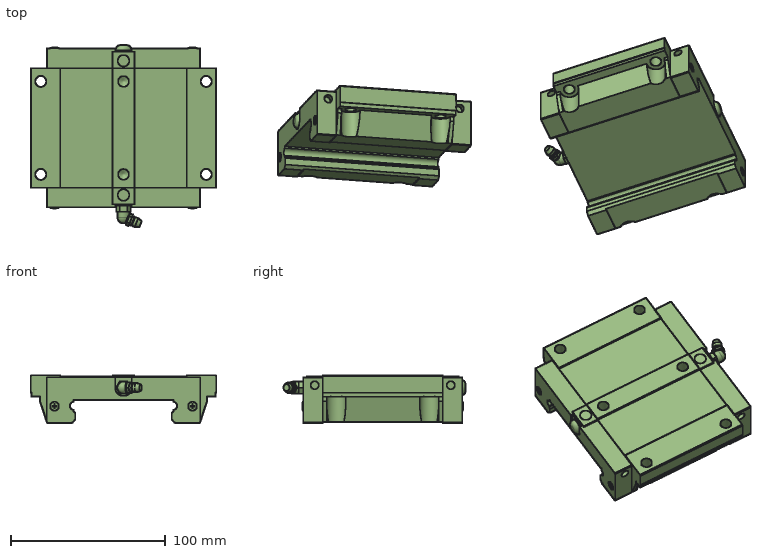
import cadquery as cq
import math

block_width = 120.0
block_length = 77.3
block_top = 31.0
block_bottom = 0.6
flange_bottom = 17.0
flange_step_z = 19.7
flange_step = 0.5
flange_top_chamfer = 0.6
leg_top_x = 54.0
leg_bottom_x = 49.5
recess_depth = 0.8
recess_half_width = 40.9
recess_draft = 0.2
strip_half_width = 6.8
strip_draft = 0.4
strip_root = 6.0

rib_inner_y = 36.0
rib_knee_z = 14.2

bolt_x = 53.4
bolt_y = 30.0
bolt_diameter = 7.0
bolt_relief_radius = 6.2
blind_hole_depth = 10.8
drill_point_angle = 118.0

cap_half_width = 49.5
cap_outer_y = 49.2
cap_top = 29.8
cap_chamfer = 0.5
cap_strip_rise = 0.5
cap_mark_y = 43.3
cap_mark_diameter = 7.5
cap_mark_depth = 0.1
side_port_y = 43.9
side_port_z = 24.5
side_port_diameter = 5.2
side_port_depth = 4.8
plate_outer_y = 51.4

port_z = 22.9
notch_radius = 5.4
notch_floor_y = 50.2
plug_radius = 5.0
plug_top_y = 53.5
plug_round = 3.0

nut_flats = 8.2
nut_end_y = 54.2
elbow_radius = 4.0
elbow_center_y = 57.7
nipple_angle = 22.0
nipple_hex_flats = 7.0
nipple_hex_start = 3.1
nipple_hex_end = 5.0
shoulder_radius = 3.1
shoulder_end = 6.5
neck_radius = 2.6
neck_end = 7.0
bulge_flank_radius = 3.0
bulge_flank_end = 7.7
bulge_radius = 3.1
bulge_end = 9.0
tip_radius = 2.2
nipple_length = 11.9

screw_x = 44.5
screw_z = 10.9
screw_radius = 2.9
screw_rim_height = 0.2
screw_height = 0.7
cross_length = 2.9
cross_width = 0.5

channel_mouth_x = 33.2
channel_lip_x = 31.1
channel_lip_low_z = 2.3
channel_lip_high_z = 6.6
channel_wall_x = 32.2
channel_wall_start_z = 7.7
groove_center_z = 11.2
groove_half_height = 2.5
groove_depth = 2.4
channel_roof_z = 14.9

block_end = block_length / 2
block_half = block_width / 2


def mirrored_prism(half_outline, y_start, y_end):
    """Extrude along Y an outline given by its +X half, bottom to top."""
    left_half = [(-x, z) for x, z in reversed(half_outline)]
    return (
        cq.Workplane("XZ", origin=(0, y_start, 0))
        .polyline(half_outline + left_half)
        .close()
        .extrude(y_start - y_end)
    )


def box_between(x_range, y_range, z_range):
    """Box given by its limits along each axis."""
    size = [high - low for low, high in (x_range, y_range, z_range)]
    corner = (x_range[0], y_range[0], z_range[0])
    return cq.Workplane("XY").box(*size, centered=False).translate(corner)


def both_ends(shape):
    """Shape together with its mirror image at the other end."""
    return shape.union(shape.mirror("XZ"))


def make_block():
    """Flanged block with tapering legs and a recessed top."""
    outline = [
        (leg_bottom_x, block_bottom),
        (leg_top_x, flange_bottom),
        (block_half - flange_step, flange_bottom),
        (block_half - flange_step, flange_step_z),
        (block_half, flange_step_z),
        (block_half, block_top - flange_top_chamfer),
        (block_half - flange_top_chamfer, block_top),
    ]
    block = mirrored_prism(outline, -block_end, block_end)
    rib_outline = [
        (leg_bottom_x, block_bottom),
        (leg_top_x, rib_knee_z),
        (leg_top_x, flange_bottom),
    ]
    rib = mirrored_prism(rib_outline, rib_inner_y, block_end)
    block = block.union(both_ends(rib))
    recess_floor = block_top - recess_depth
    recess_outline = [
        (recess_half_width - recess_draft, recess_floor),
        (recess_half_width, block_top),
    ]
    recess = mirrored_prism(recess_outline, -block_end, block_end)
    block = block.cut(recess)
    return block.union(make_strip(-block_end, block_end, recess_floor, block_top))


def make_strip(y_start, y_end, floor_z, top_z):
    """Raised centre strip with sloping sides, rooted below floor_z."""
    outline = [
        (strip_half_width + strip_draft, floor_z - strip_root),
        (strip_half_width + strip_draft, floor_z),
        (strip_half_width, top_z),
    ]
    return mirrored_prism(outline, y_start, y_end)


def cut_bolt_holes(block):
    """Cut the flange holes, their bolt head reliefs and the two central blind holes."""
    corner_holes = (
        cq.Workplane("XY")
        .rect(2 * bolt_x, 2 * bolt_y, forConstruction=True)
        .vertices()
    )
    through = corner_holes.circle(bolt_diameter / 2).extrude(block_top)
    reliefs = corner_holes.circle(bolt_relief_radius).extrude(flange_bottom)
    block = block.cut(through).cut(reliefs)
    radius = bolt_diameter / 2
    point_depth = radius / math.tan(math.radians(drill_point_angle / 2))
    drill = (
        cq.Workplane("XZ")
        .polyline(
            [
                (0, block_top),
                (radius, block_top),
                (radius, block_top - blind_hole_depth),
                (0, block_top - blind_hole_depth - point_depth),
            ]
        )
        .close()
        .revolve(360, (0, 0), (0, 1))
    )
    for y in (-bolt_y, bolt_y):
        block = block.cut(drill.translate((0, y, 0)))
    return block


def make_cap():
    """End cap and cover plate at the +Y end."""
    edge = cap_half_width
    outline = [
        (edge - cap_chamfer, 0),
        (edge, cap_chamfer),
        (edge, cap_top - cap_chamfer),
        (edge - cap_chamfer, cap_top),
    ]
    cap = mirrored_prism(outline, block_end, plate_outer_y)
    strip = make_strip(block_end, cap_outer_y, cap_top, cap_top + cap_strip_rise)
    mark = (
        cq.Workplane("XY", origin=(0, cap_mark_y, cap_top + cap_strip_rise - cap_mark_depth))
        .circle(cap_mark_diameter / 2)
        .extrude(cap_mark_depth)
    )
    cap = cap.union(strip).cut(mark)
    for side in (-1, 1):
        port = (
            cq.Workplane("YZ", origin=(side * edge, side_port_y, side_port_z))
            .circle(side_port_diameter / 2)
            .extrude(-side * side_port_depth)
        )
        cap = cap.cut(port)
    return cap.cut(make_port_notch())


def make_port_notch():
    """Slot with a round bottom, open at the top of the cover plate."""
    depth = plate_outer_y - notch_floor_y
    round_end = (
        cq.Workplane("XZ", origin=(0, plate_outer_y, port_z))
        .circle(notch_radius)
        .extrude(depth)
    )
    open_end = box_between(
        (-notch_radius, notch_radius), (notch_floor_y, plate_outer_y), (port_z, cap_top)
    )
    return round_end.union(open_end)


def make_channel():
    """Through channel with a rounded groove along each wall."""
    half_section = (
        cq.Workplane("XZ", origin=(0, plate_outer_y, 0))
        .lineTo(channel_mouth_x, 0)
        .lineTo(channel_lip_x, channel_lip_low_z)
        .lineTo(channel_lip_x, channel_lip_high_z)
        .lineTo(channel_wall_x, channel_wall_start_z)
        .lineTo(channel_wall_x, groove_center_z - groove_half_height)
        .threePointArc(
            (channel_wall_x + groove_depth, groove_center_z),
            (channel_wall_x, groove_center_z + groove_half_height),
        )
        .lineTo(channel_wall_x, channel_roof_z)
        .lineTo(0, channel_roof_z)
        .close()
    )
    half_channel = half_section.extrude(2 * plate_outer_y)
    return half_channel.union(half_channel.mirror("YZ"))


def make_screw():
    """Domed cross-recess screw head standing out along +Y from Y = 0."""
    dome_height = screw_height - screw_rim_height
    dome_radius = (screw_radius**2 + dome_height**2) / (2 * dome_height)
    half_radius = screw_radius / 2
    half_way_height = screw_height - dome_radius + math.sqrt(dome_radius**2 - half_radius**2)
    head = (
        cq.Workplane("XY")
        .lineTo(screw_radius, 0)
        .lineTo(screw_radius, screw_rim_height)
        .threePointArc((half_radius, half_way_height), (0, screw_height))
        .close()
        .revolve(360, (0, 0), (0, 1))
    )
    for x, z in ((cross_length, cross_width), (cross_width, cross_length)):
        slot = box_between((-x / 2, x / 2), (screw_rim_height, screw_height), (-z / 2, z / 2))
        head = head.cut(slot)
    return head


def make_plug():
    """Rounded plug closing the +Y port."""
    return (
        cq.Workplane("XZ", origin=(0, notch_floor_y, port_z))
        .circle(plug_radius)
        .extrude(notch_floor_y - plug_top_y)
        .faces(">Y")
        .edges()
        .fillet(plug_round)
    )


def make_hexagon(flats, base_y, base_z, length):
    """Hexagonal prism running from base_y toward -Y, with corners along X."""
    corner_diameter = flats / math.cos(math.radians(30))
    base = cq.Workplane("XZ", origin=(0, base_y, base_z))
    return base.polygon(6, corner_diameter).extrude(length)


def make_nipple():
    """Angled grease nipple in the -Y port."""
    nut = make_hexagon(nut_flats, -notch_floor_y, port_z, nut_end_y - notch_floor_y)
    elbow = (
        cq.Workplane("XZ", origin=(0, -nut_end_y, port_z))
        .circle(elbow_radius)
        .extrude(elbow_center_y - nut_end_y)
    )
    ball = cq.Workplane("XY").sphere(elbow_radius).translate((0, -elbow_center_y, port_z))
    spout = (
        cq.Workplane("XY")
        .lineTo(shoulder_radius, 0)
        .lineTo(shoulder_radius, shoulder_end)
        .lineTo(neck_radius, neck_end)
        .threePointArc((bulge_flank_radius, bulge_flank_end), (bulge_radius, bulge_end))
        .lineTo(tip_radius, nipple_length)
        .lineTo(0, nipple_length)
        .close()
        .revolve(360, (0, 0), (0, 1))
    )
    collar = make_hexagon(nipple_hex_flats, nipple_hex_end, 0, nipple_hex_end - nipple_hex_start)
    spout = (
        spout.union(collar)
        .rotate((0, 0, 0), (0, 0, 1), -90 - nipple_angle)
        .translate((0, -elbow_center_y, port_z))
    )
    return nut.union(elbow).union(ball).union(spout)


result = cut_bolt_holes(make_block())
result = result.union(both_ends(make_cap())).cut(make_channel())
for x in (-screw_x, screw_x):
    result = result.union(both_ends(make_screw().translate((x, plate_outer_y, screw_z))))
result = result.union(make_plug()).union(make_nipple())